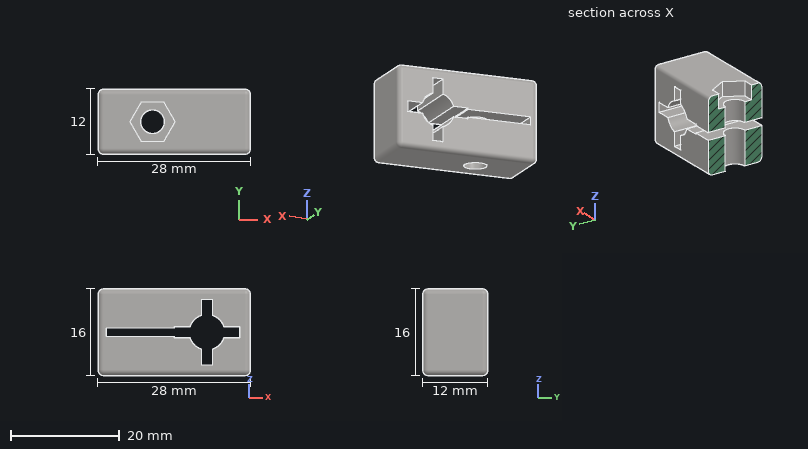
import cadquery as cq
import math

LENGTH = 28.0
DEPTH = 12.0
HEIGHT = 16.0
EDGE_RADIUS = 1.0

BORE_X = 6.0
BORE_DIAMETER = 6.5
CROSS_SPAN = 12.0
CROSS_WIDTH = 2.0

SLIT_WIDTH = 1.5
SLIT_END_WALL = 1.5

SCREW_X = -4.0
SCREW_DIAMETER = 4.3
NUT_ACROSS_FLATS = 7.2
NUT_POCKET_DEPTH = 3.0


def rounded_block():
    """Block with every edge rounded."""
    return cq.Workplane("XY").box(LENGTH, DEPTH, HEIGHT).edges().fillet(EDGE_RADIUS)


def cross_bore():
    """Round bore joined with a vertical and a horizontal slot, through the depth."""
    bore = cq.Workplane("XZ").center(BORE_X, 0).circle(BORE_DIAMETER / 2).extrude(DEPTH / 2, both=True)
    upright = cq.Workplane("XY").box(CROSS_WIDTH, DEPTH, CROSS_SPAN).translate((BORE_X, 0, 0))
    level = cq.Workplane("XY").box(CROSS_SPAN, DEPTH, CROSS_WIDTH).translate((BORE_X, 0, 0))
    return bore.union(upright).union(level)


def slit():
    """Narrow slit from near the -X face to the bore axis, through the depth."""
    start_x = -LENGTH / 2 + SLIT_END_WALL
    length = BORE_X - start_x
    middle_x = start_x + length / 2
    return cq.Workplane("XY").box(length, DEPTH, SLIT_WIDTH).translate((middle_x, 0, 0))


def screw_hole():
    """Hole through the full height."""
    return (
        cq.Workplane("XY")
        .center(SCREW_X, 0)
        .circle(SCREW_DIAMETER / 2)
        .extrude(HEIGHT / 2, both=True)
    )


def nut_pocket():
    """Hexagonal pocket sunk from the top face, with two corners along X."""
    across_corners = NUT_ACROSS_FLATS / math.cos(math.radians(30))
    return (
        cq.Workplane("XY")
        .workplane(offset=HEIGHT / 2)
        .center(SCREW_X, 0)
        .polygon(6, across_corners)
        .extrude(-NUT_POCKET_DEPTH)
    )


result = (
    rounded_block()
    .cut(cross_bore())
    .cut(slit())
    .cut(screw_hole())
    .cut(nut_pocket())
)